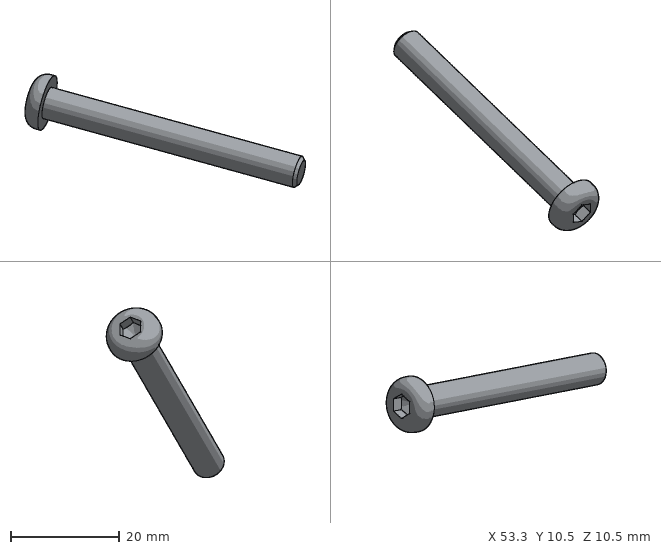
import cadquery as cq
import math

total_length = 53.3
head_diameter = 10.5
head_height = 3.3
rim_thickness = 0.8
shank_diameter = 6.0
tip_chamfer = 0.65
socket_across_flats = 4.0
socket_depth = 2.1
socket_floor_slope = 30.0

head_radius = head_diameter / 2
shank_radius = shank_diameter / 2
head_face_x = -total_length / 2
tip_x = total_length / 2
bearing_x = head_face_x + head_height
rim_x = bearing_x - rim_thickness

dome_radius = head_height - rim_thickness
crown_radius = head_radius - dome_radius
dome_middle = (
    rim_x - dome_radius * math.sin(math.pi / 4),
    crown_radius + dome_radius * math.cos(math.pi / 4),
)

socket_corner_radius = socket_across_flats / 2 / math.cos(math.pi / 6)
socket_floor_drop = socket_corner_radius * math.tan(math.radians(socket_floor_slope))


def screw_body():
    """Revolve the half section of head and shank about the X axis."""
    return (
        cq.Workplane("XY")
        .moveTo(head_face_x, 0)
        .lineTo(head_face_x, crown_radius)
        .threePointArc(dome_middle, (rim_x, head_radius))
        .lineTo(bearing_x, head_radius)
        .lineTo(bearing_x, shank_radius)
        .lineTo(tip_x - tip_chamfer, shank_radius)
        .lineTo(tip_x, shank_radius - tip_chamfer)
        .lineTo(tip_x, 0)
        .close()
        .revolve(360, (0, 0, 0), (1, 0, 0))
    )


def hex_socket():
    """Hexagonal prism with two corners along Z, trimmed to a conical floor."""
    prism = (
        cq.Workplane("YZ", origin=(head_face_x, 0, 0))
        .transformed(rotate=(0, 0, 90))
        .polygon(6, 2 * socket_corner_radius)
        .extrude(socket_depth + socket_floor_drop)
    )
    floor_x = head_face_x + socket_depth
    drilled_hole = (
        cq.Workplane("XY")
        .moveTo(head_face_x, 0)
        .lineTo(head_face_x, socket_corner_radius)
        .lineTo(floor_x, socket_corner_radius)
        .lineTo(floor_x + socket_floor_drop, 0)
        .close()
        .revolve(360, (0, 0, 0), (1, 0, 0))
    )
    return prism.intersect(drilled_hole)


result = screw_body().cut(hex_socket())